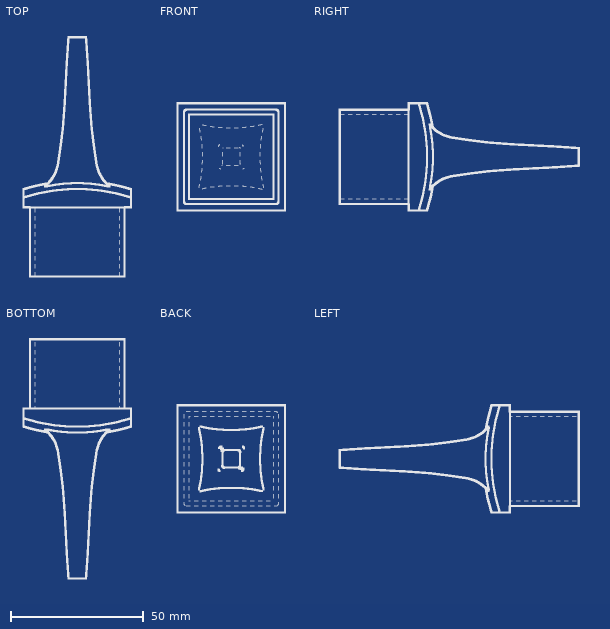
import cadquery as cq

total_length = 90.0

spigot_width = 35.55
spigot_length = 26.0
socket_width = 31.8
corner_radius = 1.1

cap_width = 40.5
cap_height = 10.0
dome_rise_at_side = 3.1

tip_half_width = 3.3
stalk_flare = [
    (tip_half_width, total_length),
    (4.5, 70.2),
    (5.85, 52.2),
    (6.8, 45.0),
    (8.3, 38.9),
    (10.8, 35.2),
    (12.6, 33.6),
    (13.9, 32.7),
]

dome_apex_y = spigot_length + cap_height
dome_radius = ((cap_width / 2) ** 2 + dome_rise_at_side**2) / (2 * dome_rise_at_side)


def square_bar(width, start_y, length):
    """Square bar centred on the Y axis, running from start_y toward +Y."""
    return cq.Workplane("XY").box(width, length, width).translate((0, start_y + length / 2, 0))


def make_spigot():
    return square_bar(spigot_width, 0, spigot_length).edges("|Y").fillet(corner_radius)


def make_cap():
    """Square plate whose outer face is part of a sphere."""
    plate = square_bar(cap_width, spigot_length, cap_height + dome_rise_at_side)
    dome = cq.Workplane("XY").sphere(dome_radius).translate((0, dome_apex_y - dome_radius, 0))
    return plate.intersect(dome)


def make_stalk():
    """Square stalk with the same flared outline across X and across Z, and rounded long edges."""
    right_side = stalk_flare
    left_side = [(-half_width, y) for half_width, y in reversed(right_side)]
    outline = (
        cq.Workplane("XY", origin=(0, 0, -cap_width / 2))
        .moveTo(*right_side[0])
        .spline(right_side[1:], includeCurrent=True)
        .lineTo(*left_side[0])
        .spline(left_side[1:], includeCurrent=True)
        .close()
    )
    flared_across_x = outline.extrude(cap_width)
    flared_across_z = flared_across_x.rotate((0, 0, 0), (0, 1, 0), 90)
    stalk = flared_across_x.intersect(flared_across_z)
    long_edges = stalk.edges("not(#Y)")
    return long_edges.fillet(corner_radius)


socket = square_bar(socket_width, 0, spigot_length)
result = make_spigot().union(make_cap()).union(make_stalk()).cut(socket)